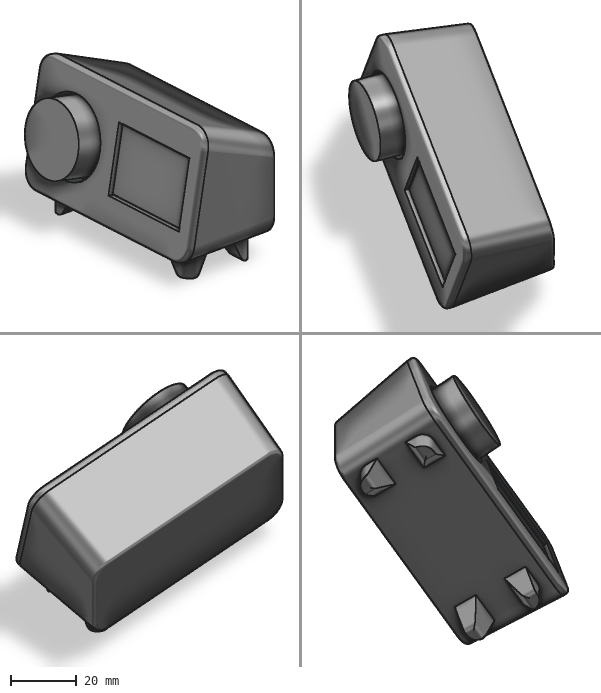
import cadquery as cq
import math

LEAN_ANGLE = 10.0
FRONT_BASE_Y = -34.4

FRONT_WIDTH = 78.75
FRONT_HEIGHT = 44.1
BACK_WIDTH = 75.75
BACK_HEIGHT = 32.75
CORNER_RADIUS = 6.3
EDGE_FILLET = 1.25

PANEL_THICKNESS = 2.5

KNOB_DIAMETER = 25.4
KNOB_OPENING_DIAMETER = 27.95
KNOB_PROTRUSION = 7.6
COLLAR_DIAMETER = 31.7
COLLAR_DEPTH = 4.0
KNOB_X = -20.2

WINDOW_WIDTH = 33.85
WINDOW_HEIGHT = 23.7
WINDOW_X = 17.25
SCREEN_GAP = 0.5
SCREEN_RECESS = 1.25

FOOT_HEIGHT = 7.7
FOOT_TOP_LENGTH_X = 10.5
FOOT_BOTTOM_LENGTH_X = 5.0
FOOT_TOP_LENGTH_Y = 7.7
FOOT_BOTTOM_LENGTH_Y = 3.9
FOOT_CORNER_RADIUS = 3.9
FOOT_TOE_RADIUS = 2.5
FOOT_OUTER_X = FRONT_WIDTH / 2 - CORNER_RADIUS
FRONT_FOOT_Y = -30.7
BACK_FOOT_Y = -5.0

lean = math.radians(LEAN_ANGLE)
front_plane = cq.Plane(
    origin=(0, FRONT_BASE_Y, 0),
    xDir=(1, 0, 0),
    normal=(0, -math.cos(lean), math.sin(lean)),
)
back_plane = cq.Plane(origin=(0, 0, 0), xDir=(1, 0, 0), normal=(0, -1, 0))
mid_height = FRONT_HEIGHT / 2


def outline_wire(plane, width, height):
    """Closed rounded rectangle that stands on the underside of the part."""
    half_width = width / 2
    corner_x = half_width - CORNER_RADIUS
    corner_top = height - CORNER_RADIUS
    return (
        cq.Workplane(plane)
        .moveTo(-corner_x, 0)
        .lineTo(corner_x, 0)
        .radiusArc((half_width, CORNER_RADIUS), -CORNER_RADIUS)
        .lineTo(half_width, corner_top)
        .radiusArc((corner_x, height), -CORNER_RADIUS)
        .lineTo(-corner_x, height)
        .radiusArc((-half_width, corner_top), -CORNER_RADIUS)
        .lineTo(-half_width, CORNER_RADIUS)
        .radiusArc((-corner_x, 0), -CORNER_RADIUS)
        .close()
    )


def disc(diameter, start, end):
    """Round disc on the knob axis, between two distances from the housing front."""
    return (
        cq.Workplane(front_plane)
        .workplane(offset=start)
        .center(KNOB_X, mid_height)
        .circle(diameter / 2)
        .extrude(end - start)
    )


def plate(width, height, thickness):
    """Rectangular plate on the housing front, centred on the screen."""
    return (
        cq.Workplane(front_plane)
        .center(WINDOW_X, mid_height)
        .rect(width, height)
        .extrude(thickness)
    )


def make_housing():
    """Solid that tapers from the leaning front to the upright back, with a recess for the collar."""
    back_wire = outline_wire(back_plane, BACK_WIDTH, BACK_HEIGHT).val()
    front_wire = outline_wire(front_plane, FRONT_WIDTH, FRONT_HEIGHT).val()
    body = cq.Workplane(cq.Solid.makeLoft([back_wire, front_wire], True))
    body = body.faces(">Y").edges().fillet(EDGE_FILLET)
    return body.cut(disc(COLLAR_DIAMETER, -COLLAR_DEPTH, 0))


def make_panel():
    """Rounded plate with a collar behind it, cut through for the knob and the screen."""
    panel = outline_wire(front_plane, FRONT_WIDTH, FRONT_HEIGHT).extrude(PANEL_THICKNESS)
    outer_face = cq.selectors.DirectionMinMaxSelector(front_plane.zDir)
    panel = panel.faces(outer_face).edges().fillet(EDGE_FILLET)
    panel = panel.union(disc(COLLAR_DIAMETER, -COLLAR_DEPTH, 0))
    panel = panel.cut(disc(KNOB_OPENING_DIAMETER, -COLLAR_DEPTH, PANEL_THICKNESS))
    return panel.cut(plate(WINDOW_WIDTH, WINDOW_HEIGHT, PANEL_THICKNESS))


def make_knob():
    """Plain round knob that stands on the floor of the collar recess."""
    return disc(KNOB_DIAMETER, -COLLAR_DEPTH, PANEL_THICKNESS + KNOB_PROTRUSION)


def make_screen():
    """Flat screen inside the window, set back from the panel face."""
    return plate(
        WINDOW_WIDTH - 2 * SCREEN_GAP,
        WINDOW_HEIGHT - 2 * SCREEN_GAP,
        PANEL_THICKNESS - SCREEN_RECESS,
    )


def foot_profile(plane, top_length, bottom_length, depth):
    """Prism with an upright outer end, a sloping inner end and a rounded toe."""
    toe = (bottom_length, -FOOT_HEIGHT)
    slope_x = top_length - bottom_length
    slope_length = math.hypot(slope_x, FOOT_HEIGHT)
    tangent = FOOT_TOE_RADIUS * math.tan(math.atan2(FOOT_HEIGHT, slope_x) / 2)
    toe_end = (
        toe[0] + tangent * slope_x / slope_length,
        toe[1] + tangent * FOOT_HEIGHT / slope_length,
    )
    return (
        cq.Workplane(plane)
        .lineTo(0, -FOOT_HEIGHT)
        .lineTo(toe[0] - tangent, -FOOT_HEIGHT)
        .radiusArc(toe_end, -FOOT_TOE_RADIUS)
        .lineTo(top_length, 0)
        .close()
        .extrude(depth)
    )


def make_foot():
    """Front left foot with its outer corner at the origin, tapering toward +X and +Y."""
    along_x = foot_profile("XZ", FOOT_TOP_LENGTH_X, FOOT_BOTTOM_LENGTH_X, -FOOT_TOP_LENGTH_Y)
    along_y = foot_profile("YZ", FOOT_TOP_LENGTH_Y, FOOT_BOTTOM_LENGTH_Y, FOOT_TOP_LENGTH_X)
    rounded_block = (
        cq.Workplane("XY")
        .rect(FOOT_TOP_LENGTH_X, FOOT_TOP_LENGTH_Y, centered=False)
        .extrude(-FOOT_HEIGHT)
        .edges("|Z and <X and <Y")
        .fillet(FOOT_CORNER_RADIUS)
    )
    return along_x.intersect(along_y).intersect(rounded_block)


def make_feet():
    """Four feet, mirrored so that every round corner points outward."""
    front_left = make_foot()
    front_right = front_left.mirror("YZ")
    feet = []
    for foot, x in ((front_left, -FOOT_OUTER_X), (front_right, FOOT_OUTER_X)):
        feet.append(foot.translate((x, FRONT_FOOT_Y, 0)))
        feet.append(foot.mirror("XZ").translate((x, BACK_FOOT_Y, 0)))
    return feet


housing = make_housing()
panel = make_panel()
knob = make_knob()
screen = make_screen()
feet = make_feet()

result = cq.Compound.makeCompound(
    [housing.val(), panel.val(), knob.val(), screen.val(), *[foot.val() for foot in feet]]
)